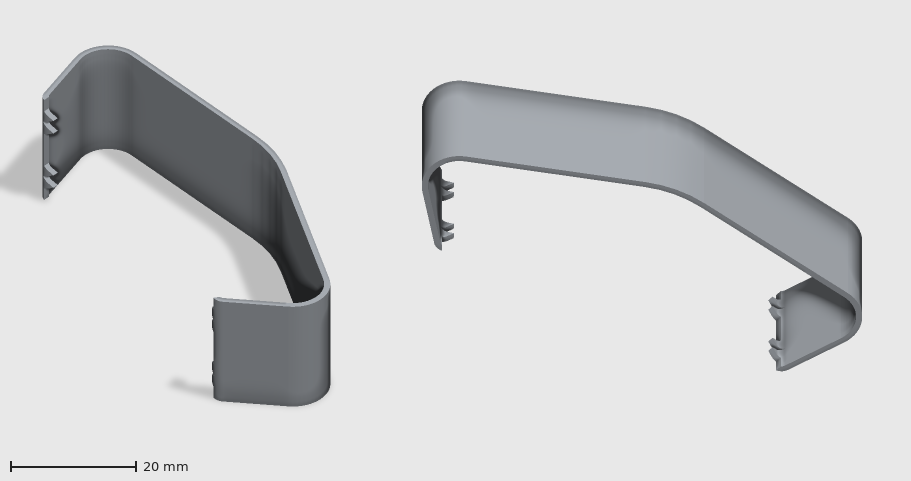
import cadquery as cq
import math

span = 75.9
depth = 26.4
strip_width = 20.0
thickness = 1.0

crown_radius = 21.2
shoulder_radius = 6.0
hook_radius = 2.0

arm_angle = 14.0
leg_angle = 55.5
hook_angle = 32.0

hook_straight = 1.5
trim_angle = 20.0
base_offset = -0.6
tooth_length = 1.9
valley_depth = 0.4
pair_spacing = 10.9
tip_spacing = 2.5
pair_base_width = 4.55
trim_margin = 1.5


def polar(center, radius, degrees):
    angle = math.radians(degrees)
    return (center[0] + radius * math.cos(angle), center[1] + radius * math.sin(angle))


arm_normal = 90 + arm_angle
leg_normal = 270 - leg_angle
hook_normal = 270 + hook_angle

crown_center = (0, -crown_radius)
shoulder_x = shoulder_radius - span / 2
arm_rise = -shoulder_x * math.tan(math.radians(arm_angle))
arm_offset = (crown_radius - shoulder_radius) / math.cos(math.radians(arm_angle))
shoulder_center = (shoulder_x, arm_offset - crown_radius - arm_rise)

hook_y = hook_radius - depth
leg_start = polar(shoulder_center, shoulder_radius - hook_radius, leg_normal)
leg_length = (leg_start[1] - hook_y) / math.sin(math.radians(leg_angle))
hook_center = polar(leg_start, leg_length, -leg_angle)


def half_strip():
    """Left half of the bent strip, with a plain hook end."""
    bends = [
        (crown_center, crown_radius, 90, arm_normal),
        (shoulder_center, shoulder_radius, arm_normal, leg_normal),
        (hook_center, hook_radius, leg_normal, hook_normal),
    ]
    profile = cq.Workplane("XY").workplane(offset=-strip_width / 2).moveTo(0, -thickness)
    for center, radius, start, end in bends:
        profile = profile.lineTo(*polar(center, radius, start))
        profile = profile.threePointArc(
            polar(center, radius, (start + end) / 2), polar(center, radius, end)
        )
    outer_tip = polar(polar(hook_center, hook_radius, hook_normal), hook_straight, hook_angle)
    profile = profile.lineTo(*outer_tip).lineTo(*polar(outer_tip, -thickness, hook_normal))
    for center, radius, start, end in reversed(bends):
        inner_radius = radius - thickness
        profile = profile.lineTo(*polar(center, inner_radius, end))
        profile = profile.threePointArc(
            polar(center, inner_radius, (start + end) / 2), polar(center, inner_radius, start)
        )
    return profile.close().extrude(strip_width)


def tooth_trimmer():
    """Material beyond the toothed edge, extruded outward from the hook center."""
    trim_rad = math.radians(trim_angle)
    trim_plane = cq.Plane(
        origin=(hook_center[0], hook_center[1], 0),
        xDir=(math.cos(trim_rad), math.sin(trim_rad), 0),
        normal=(math.sin(trim_rad), -math.cos(trim_rad), 0),
    )
    tip = base_offset + tooth_length
    far = tip + trim_margin
    end = strip_width / 2 + trim_margin
    edge = [(base_offset, -end)]
    for middle in (-pair_spacing / 2, pair_spacing / 2):
        edge += [
            (base_offset, middle - pair_base_width / 2),
            (tip, middle - tip_spacing / 2),
            (base_offset - valley_depth, middle),
            (tip, middle + tip_spacing / 2),
            (base_offset, middle + pair_base_width / 2),
        ]
    edge += [(base_offset, end), (far, end), (far, -end)]
    return cq.Workplane(trim_plane).polyline(edge).close().extrude(hook_radius + trim_margin)


left_half = half_strip().cut(tooth_trimmer())
result = left_half.union(left_half.mirror("YZ")).clean()